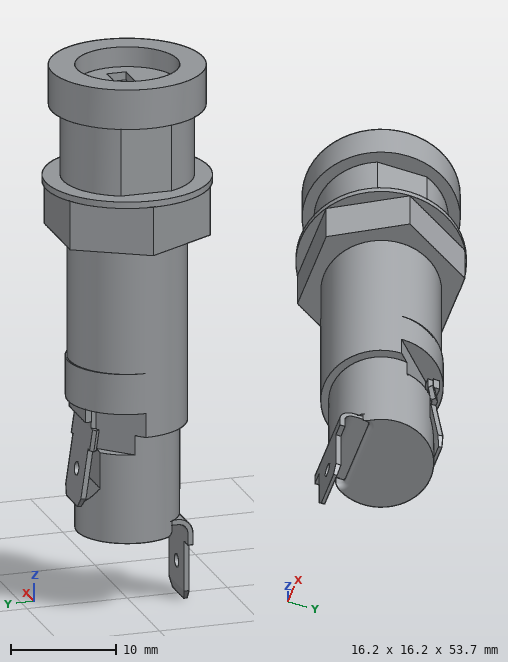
import cadquery as cq
import math


HEAD_RADIUS = 7.5
HEAD_HEIGHT = 4.0
NECK_RADIUS = 6.4
NECK_ACROSS_FLATS = 11.75
NECK_HEIGHT = 7.1
SHANK_RADIUS = 5.75
SHANK_BOTTOM = -31.7
TAIL_RADIUS = 5.0
TAIL_BOTTOM = -42.55

BAND_SHIFT = 0.15
BAND_TOP = -25.25
BAND_BOTTOM = -29.25
NOTCH_BOTTOM = -33.6
FLAT_Y = 3.75
FLAT_BOTTOM = -37.2
RAMP_BOTTOM = -39.35

RELIEF_HALF_WIDTH = 3.8
RELIEF_BACK_Y = -2.4
RELIEF_ROUND = 0.55
RELIEF_EDGE_ROUND = 0.5
SELECT_MARGIN = 0.05

CAP_RADIUS = 5.0
CAP_RECESS = 2.0
CAP_HEIGHT = 4.0
SLOT_LENGTH = 6.7
SLOT_WIDTH = 1.9
SLOT_DEPTH = 0.8

FLANGE_RADIUS = 8.1
FLANGE_HEIGHT = 0.65
HEX_ACROSS_CORNERS = 16.15
HEX_HEIGHT = 4.9

SHEET = 0.51
BLADE_HALF_WIDTH = 2.35
BLADE_LENGTH = 5.95
BLADE_CHAMFER_WIDTH = 0.65
BLADE_CHAMFER_HEIGHT = 0.95
BLADE_BEVEL = 0.15
BLADE_HOLE_RADIUS = 0.65
BLADE_HOLE_TO_TIP = 3.3

BEND_RADIUS = 1.5
LEAF_HALF_WIDTH = 3.55
LEAF_INNER_Y = -1.6
BOTTOM_BLADE_Y = -5.4
OVERALL_LENGTH = 53.7
BOTTOM_SHOULDER_Z = HEAD_HEIGHT - OVERALL_LENGTH + BLADE_LENGTH
BOTTOM_BEND_Z = -42.6

STEM_Y = 3.85
PAD_HALF_WIDTH = 2.5
STEM_EMBED = 1.6
STEM_TOP = BAND_BOTTOM + STEM_EMBED
STEM_BOTTOM = -31.45
PAD_OUTER_Y = 5.0
PAD_BOTTOM = -30.7
WING_FLAT_HALF_WIDTH = 2.85
WING_BEND = 45.0
WING_REACH = 0.3
WING_HEIGHT = 2.1
SIDE_BLADE_TILT = 8.2

NECK_BOTTOM = -NECK_HEIGHT


def cylinder(radius, bottom, top):
    return cq.Workplane("XY").workplane(offset=bottom).circle(radius).extrude(top - bottom)


def block(x_range, y_range, z_range):
    """Axis-aligned box between the given limits."""
    sizes = [high - low for low, high in (x_range, y_range, z_range)]
    corner = (x_range[0], y_range[0], z_range[0])
    return cq.Workplane("XY").box(*sizes, centered=False).translate(corner)


def side_profile(points, half_width):
    """Closed (y, z) outline extruded symmetrically along X."""
    return cq.Workplane("YZ").polyline(points).close().extrude(half_width, both=True)


def neck():
    half_flats = NECK_ACROSS_FLATS / 2
    flats = block((-half_flats, half_flats), (-NECK_RADIUS, NECK_RADIUS), (NECK_BOTTOM, 0))
    return cylinder(NECK_RADIUS, NECK_BOTTOM, 0).intersect(flats)


def band():
    """Shank-sized disc shifted toward +Y, so that it stands proud on that side only."""
    return cylinder(SHANK_RADIUS, BAND_BOTTOM, BAND_TOP).translate((0, BAND_SHIFT, 0))


def side_notch():
    """Space outside the flat y = FLAT_Y and the two 45-degree planes beside it."""
    corner_x = SHANK_RADIUS - FLAT_Y
    outer = 1.5 * SHANK_RADIUS
    outline = [
        (-outer, SHANK_RADIUS - outer),
        (-corner_x, FLAT_Y),
        (corner_x, FLAT_Y),
        (outer, SHANK_RADIUS - outer),
        (outer, outer),
        (-outer, outer),
    ]
    base = cq.Workplane("XY").workplane(offset=NOTCH_BOTTOM)
    return base.polyline(outline).close().extrude(BAND_BOTTOM - NOTCH_BOTTOM)


def tail_flat():
    """Flat on the +Y side of the tail that ramps out to the full radius."""
    outline = [
        (FLAT_Y, NOTCH_BOTTOM),
        (FLAT_Y, FLAT_BOTTOM),
        (TAIL_RADIUS, RAMP_BOTTOM),
        (SHANK_RADIUS, RAMP_BOTTOM),
        (SHANK_RADIUS, NOTCH_BOTTOM),
    ]
    return side_profile(outline, TAIL_RADIUS)


def terminal_relief(ceiling):
    """Cutter for the pocket over the bottom terminal, flared at the mouth to leave a rounded rim."""
    pocket = block(
        (-RELIEF_HALF_WIDTH, RELIEF_HALF_WIDTH),
        (-SHANK_RADIUS, RELIEF_BACK_Y),
        (TAIL_BOTTOM, ceiling),
    )
    pocket = pocket.edges("|Z and >Y").fillet(RELIEF_ROUND)
    flare = 2 * RELIEF_EDGE_ROUND
    plate = block(
        (-RELIEF_HALF_WIDTH - flare, RELIEF_HALF_WIDTH + flare),
        (-SHANK_RADIUS, RELIEF_BACK_Y + flare),
        (TAIL_BOTTOM - flare, TAIL_BOTTOM),
    )
    rim = cq.selectors.BoxSelector(
        (-RELIEF_HALF_WIDTH - SELECT_MARGIN, -SHANK_RADIUS + SELECT_MARGIN, TAIL_BOTTOM - SELECT_MARGIN),
        (RELIEF_HALF_WIDTH + SELECT_MARGIN, RELIEF_BACK_Y + SELECT_MARGIN, TAIL_BOTTOM + SELECT_MARGIN),
    )
    return pocket.union(plate).edges(rim).fillet(RELIEF_EDGE_ROUND)


def make_housing(terminals):
    """Housing with a blind cap bore and sockets that match the given terminals."""
    body = cylinder(HEAD_RADIUS, 0, HEAD_HEIGHT)
    body = body.union(neck())
    body = body.union(cylinder(SHANK_RADIUS, SHANK_BOTTOM, NECK_BOTTOM))
    body = body.union(cylinder(TAIL_RADIUS, TAIL_BOTTOM, SHANK_BOTTOM))
    body = body.union(band())
    body = body.cut(side_notch()).cut(tail_flat())

    body = body.cut(terminal_relief(BOTTOM_BEND_Z + BEND_RADIUS))
    body = body.cut(cylinder(CAP_RADIUS, HEAD_HEIGHT - CAP_RECESS - CAP_HEIGHT, HEAD_HEIGHT))
    for terminal in terminals:
        body = body.cut(terminal)
    return body


def make_cap():
    top = HEAD_HEIGHT - CAP_RECESS
    slot = block(
        (-SLOT_LENGTH / 2, SLOT_LENGTH / 2),
        (-SLOT_WIDTH / 2, SLOT_WIDTH / 2),
        (top - SLOT_DEPTH, top),
    )
    return cylinder(CAP_RADIUS, top - CAP_HEIGHT, top).cut(slot)


def make_nut():
    flange_bottom = NECK_BOTTOM - FLANGE_HEIGHT
    bottom = flange_bottom - HEX_HEIGHT
    base = cq.Workplane("XY").workplane(offset=bottom)
    hexagon = base.polygon(6, HEX_ACROSS_CORNERS).extrude(HEX_HEIGHT)
    nut = hexagon.union(cylinder(FLANGE_RADIUS, flange_bottom, NECK_BOTTOM))
    return nut.cut(cylinder(SHANK_RADIUS, bottom, NECK_BOTTOM))


def make_blade():
    """Blade hanging down from the origin, outer face on y = 0 and thickness toward +Y."""
    tip_half_width = BLADE_HALF_WIDTH - BLADE_CHAMFER_WIDTH
    chamfer_z = -BLADE_LENGTH + BLADE_CHAMFER_HEIGHT
    outline = [
        (-BLADE_HALF_WIDTH, 0),
        (-BLADE_HALF_WIDTH, chamfer_z),
        (-tip_half_width, -BLADE_LENGTH),
        (tip_half_width, -BLADE_LENGTH),
        (BLADE_HALF_WIDTH, chamfer_z),
        (BLADE_HALF_WIDTH, 0),
    ]
    blade = cq.Workplane("XZ").polyline(outline).close().extrude(-SHEET)
    bevel_outline = [(SHEET, chamfer_z), (SHEET, -BLADE_LENGTH), (SHEET - BLADE_BEVEL, -BLADE_LENGTH)]
    hole_z = BLADE_HOLE_TO_TIP - BLADE_LENGTH
    hole = cq.Workplane("XZ").center(0, hole_z).circle(BLADE_HOLE_RADIUS).extrude(-SHEET)
    return blade.cut(side_profile(bevel_outline, BLADE_HALF_WIDTH)).cut(hole)


def make_bottom_terminal():
    """Leaf leaving the tail toward -Y and bent down into a blade."""
    outer_y = BOTTOM_BLADE_Y
    bend_y = outer_y + BEND_RADIUS
    top = BOTTOM_BEND_Z + BEND_RADIUS
    inner_radius = BEND_RADIUS - SHEET
    diagonal = math.sqrt(0.5)
    leaf = (
        cq.Workplane("YZ")
        .moveTo(LEAF_INNER_Y, top)
        .lineTo(bend_y, top)
        .threePointArc(
            (bend_y - BEND_RADIUS * diagonal, BOTTOM_BEND_Z + BEND_RADIUS * diagonal),
            (outer_y, BOTTOM_BEND_Z),
        )
        .lineTo(outer_y, BOTTOM_SHOULDER_Z)
        .lineTo(outer_y + SHEET, BOTTOM_SHOULDER_Z)
        .lineTo(outer_y + SHEET, BOTTOM_BEND_Z)
        .threePointArc(
            (bend_y - inner_radius * diagonal, BOTTOM_BEND_Z + inner_radius * diagonal),
            (bend_y, top - SHEET),
        )
        .lineTo(LEAF_INNER_Y, top - SHEET)
        .close()
        .extrude(LEAF_HALF_WIDTH, both=True)
    )
    return leaf.union(make_blade().translate((0, outer_y, BOTTOM_SHOULDER_Z)))


def make_wings():
    """Wide strip below the origin, outer face on y = 0, its two edges bent toward +Y."""
    edge_shift = SHEET * math.sin(math.radians(WING_BEND))
    inner_corner_x = WING_FLAT_HALF_WIDTH - SHEET * math.tan(math.radians(WING_BEND / 2))
    tip_x = WING_FLAT_HALF_WIDTH + WING_REACH
    right_half = [
        (WING_FLAT_HALF_WIDTH, 0),
        (tip_x, WING_REACH),
        (tip_x - edge_shift, WING_REACH + edge_shift),
        (inner_corner_x, SHEET),
    ]
    left_half = [(-x, y) for x, y in reversed(right_half)]
    return cq.Workplane("XY").polyline(right_half + left_half).close().extrude(-WING_HEIGHT)


def make_side_terminal():
    """Stem hanging from under the band, carrying a blade that leans out toward +Y."""
    stem_x = (-BLADE_HALF_WIDTH, BLADE_HALF_WIDTH)
    pad_x = (-PAD_HALF_WIDTH, PAD_HALF_WIDTH)
    stem = block(stem_x, (STEM_Y, STEM_Y + SHEET), (STEM_BOTTOM, STEM_TOP))
    pad = block(pad_x, (STEM_Y + SHEET, PAD_OUTER_Y), (PAD_BOTTOM, STEM_TOP))
    blade = make_wings().union(make_blade().translate((0, 0, -WING_HEIGHT)))
    lean = math.radians(SIDE_BLADE_TILT)
    leaning_blade = (
        blade.rotate((0, 0, 0), (0, 0, 1), 180)
        .rotate((0, 0, 0), (1, 0, 0), SIDE_BLADE_TILT)
        .translate((0, STEM_Y + SHEET, STEM_BOTTOM + SHEET * math.sin(lean)))
    )
    return stem.union(pad).union(leaning_blade)


cap = make_cap()
nut = make_nut()
bottom_terminal = make_bottom_terminal()
side_terminal = make_side_terminal()
housing = make_housing((bottom_terminal, side_terminal))

result = cq.Compound.makeCompound(
    [housing.val(), cap.val(), nut.val(), bottom_terminal.val(), side_terminal.val()]
)